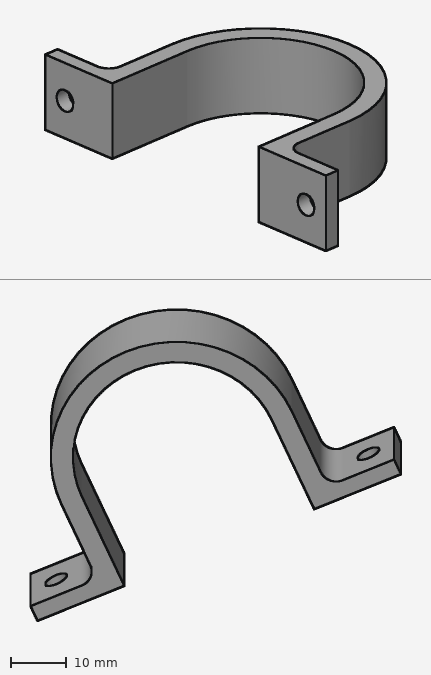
import cadquery as cq

overall_length = 71.0
overall_depth = 41.5
strap_width = 15.0
outer_radius = 22.5
inner_radius = 18.5
flange_thickness = 3.1
fillet_radius = 3.0
hole_diameter = 4.2
hole_spacing = 61.0

half_length = overall_length / 2
arch_center_y = overall_depth - outer_radius


def strap_profile():
    """Closed outline of the U-shaped strap with its two flanges."""
    return (
        cq.Workplane("XY")
        .moveTo(-half_length, 0)
        .lineTo(-inner_radius, 0)
        .lineTo(-inner_radius, arch_center_y)
        .threePointArc((0, arch_center_y + inner_radius), (inner_radius, arch_center_y))
        .lineTo(inner_radius, 0)
        .lineTo(half_length, 0)
        .lineTo(half_length, flange_thickness)
        .lineTo(outer_radius, flange_thickness)
        .lineTo(outer_radius, arch_center_y)
        .threePointArc((0, overall_depth), (-outer_radius, arch_center_y))
        .lineTo(-outer_radius, flange_thickness)
        .lineTo(-half_length, flange_thickness)
        .close()
    )


def screw_holes():
    """Cylinders along Y through both flanges at mid-width."""
    half_spacing = hole_spacing / 2
    return (
        cq.Workplane("XZ")
        .pushPoints([(side * half_spacing, strap_width / 2) for side in (-1, 1)])
        .circle(hole_diameter / 2)
        .extrude(-flange_thickness)
    )


strap = strap_profile().extrude(strap_width)

for side in (-1, 1):
    corner = (side * outer_radius, flange_thickness, strap_width / 2)
    strap = strap.edges(cq.NearestToPointSelector(corner)).fillet(fillet_radius)

result = strap.cut(screw_holes())